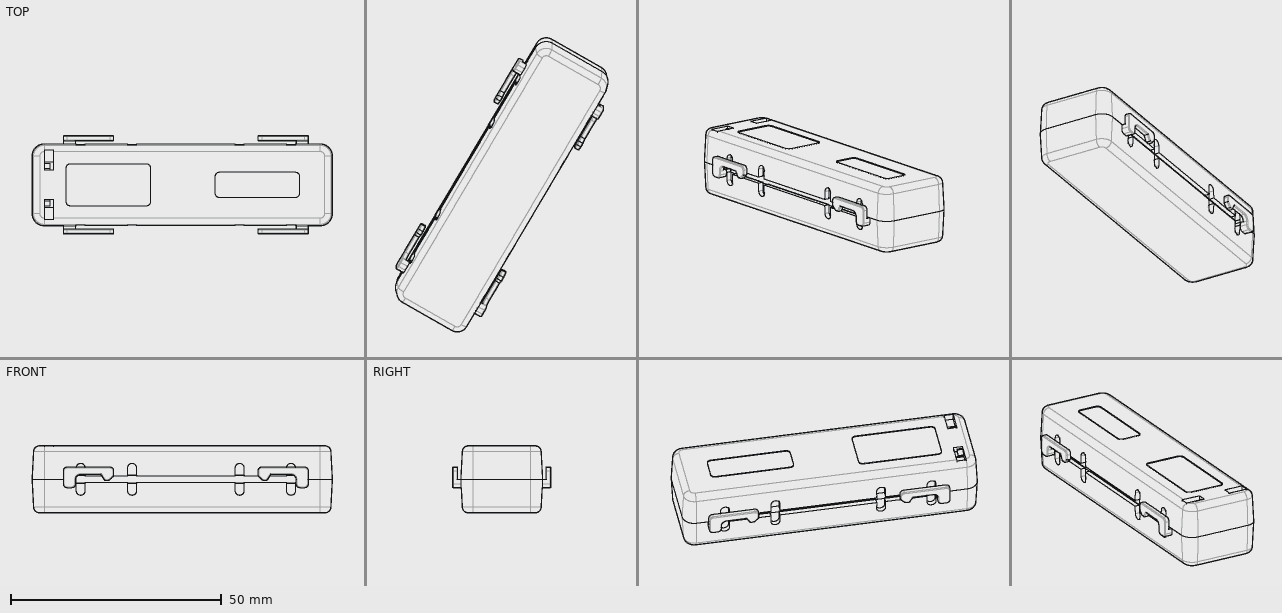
import cadquery as cq

CASE_LENGTH = 71.3
CASE_WIDTH = 19.5
SHELL_HEIGHT = 8.0
DRAFT_ANGLE = 3.0
CORNER_RADIUS = 2.9
RIM_FILLET = 1.5

MIDDLE_X = 0.85

CORE_LENGTH = 54.9
CORE_WIDTH = 16.7
CORE_TOP = 6.55
CORE_GAP = 1.85

SLIT_LENGTH = 52.2
SLIT_HEIGHT = 1.5
SLOT_WIDTH = 2.15
SLOT_HEIGHT = 7.55
SLOT_OFFSETS = (12.75, 24.95)

OVERALL_WIDTH = 23.3
HOOK_THICKNESS = 1.2
HOOK_BACK = 29.1
LEG_FRONT = 26.2
HOOK_END = 17.1
HOOK_TOP = 2.9
HOOK_BOTTOM = -2.0
ARM_UNDERSIDE = 1.15
BARB_START = 20.2
BARB_TIP_BACK = 19.25
BARB_TIP_FRONT = 18.25
BARB_TIP_LEVEL = -0.3
BARB_END_LEVEL = 0.8
HOOK_CORNER_RADIUS = 0.9
LEG_INNER_RADIUS = 1.3
HOOK_EDGE_FILLET = 0.2

LABEL_LENGTH = 20.0
LOGO_WIDTH = 10.0
LOGO_X = -17.55
NUMBER_WIDTH = 6.0
NUMBER_X = 17.8
LABEL_CORNER_RADIUS = 1.0
LABEL_DEPTH = 0.2

POCKET_X_MIN = -32.7
POCKET_LENGTH = 2.2
POCKET_INNER_Y = 3.5
LEDGE_EDGE_Y = 5.4
POCKET_OUTER_Y = 8.3
LEDGE_DEPTH = 1.3
POCKET_DEPTH = 1.6
TONGUE_LENGTH = 1.35
TONGUE_DEPTH = 0.6
RAMP_INNER_Y = 3.85
RAMP_OUTER_Y = 5.05

SIDES = (-1, 1)


def block(x_range, y_range, z_range):
    """Box given by its limits along each axis."""
    limits = (x_range, y_range, z_range)
    sizes = [high - low for low, high in limits]
    corner = tuple(low for low, high in limits)
    return cq.Workplane("XY").box(*sizes, centered=False).translate(corner)


def centred_range(middle, size):
    return (middle - size / 2, middle + size / 2)


def flipped(body):
    """Copy of an upper body, mirrored to the lower side of Z = 0."""
    return body.mirror("XY")


def make_core():
    """Upper core, a plain block."""
    return block(
        centred_range(MIDDLE_X, CORE_LENGTH),
        centred_range(0, CORE_WIDTH),
        (CORE_GAP / 2, CORE_TOP),
    )


def make_shell():
    """Upper shell with its core cavity, cable slit and side slots."""
    shell = (
        cq.Workplane("XY")
        .sketch()
        .rect(CASE_LENGTH, CASE_WIDTH)
        .vertices()
        .fillet(CORNER_RADIUS)
        .finalize()
        .extrude(SHELL_HEIGHT, taper=DRAFT_ANGLE)
        .faces(">Z")
        .edges()
        .fillet(RIM_FILLET)
    )
    cavity = block(
        centred_range(MIDDLE_X, CORE_LENGTH),
        centred_range(0, CORE_WIDTH),
        (0, CORE_TOP),
    )
    slit = block(
        centred_range(MIDDLE_X, SLIT_LENGTH),
        centred_range(0, CASE_WIDTH),
        (0, SLIT_HEIGHT / 2),
    )
    slot_centres = [(MIDDLE_X + side * offset, 0) for side in SIDES for offset in SLOT_OFFSETS]
    slots = (
        cq.Workplane("XZ")
        .pushPoints(slot_centres)
        .slot2D(SLOT_HEIGHT, SLOT_WIDTH, 90)
        .extrude(CASE_WIDTH / 2, both=True)
    )
    return shell.cut(cavity).cut(slit).cut(slots)


def cut_label(shell, middle_x, width):
    """Shallow rounded recess in the top face."""
    recess = (
        cq.Workplane("XY", origin=(middle_x, 0, SHELL_HEIGHT - LABEL_DEPTH))
        .rect(LABEL_LENGTH, width)
        .extrude(LABEL_DEPTH)
        .edges("|Z")
        .fillet(LABEL_CORNER_RADIUS)
    )
    return shell.cut(recess)


def cut_latch_pockets(shell):
    """Two mirrored pockets, each with a ledge at its inner end and a ramped tongue on the ledge."""
    x_range = (POCKET_X_MIN, POCKET_X_MIN + POCKET_LENGTH)
    ledge_level = SHELL_HEIGHT - LEDGE_DEPTH
    ledge = block(
        x_range,
        (POCKET_INNER_Y, LEDGE_EDGE_Y),
        (ledge_level, SHELL_HEIGHT),
    )
    well = block(
        x_range,
        (LEDGE_EDGE_Y, POCKET_OUTER_Y),
        (SHELL_HEIGHT - POCKET_DEPTH, SHELL_HEIGHT),
    )
    tongue_level = SHELL_HEIGHT - TONGUE_DEPTH
    tongue = (
        cq.Workplane("YZ", origin=(POCKET_X_MIN, 0, 0))
        .moveTo(POCKET_INNER_Y, ledge_level)
        .lineTo(POCKET_INNER_Y, tongue_level)
        .lineTo(RAMP_INNER_Y, tongue_level)
        .lineTo(RAMP_OUTER_Y, ledge_level)
        .close()
        .extrude(TONGUE_LENGTH)
    )
    pocket = ledge.union(well).cut(tongue)
    return shell.cut(pocket).cut(pocket.mirror("XZ"))


def make_hook():
    """Hook on the +X end of the +Y wall, its X measured from MIDDLE_X."""
    outer_y = OVERALL_WIDTH / 2
    plate = (
        cq.Workplane("XZ", origin=(0, outer_y, 0))
        .moveTo(HOOK_BACK, HOOK_BOTTOM)
        .lineTo(HOOK_BACK, HOOK_TOP)
        .lineTo(HOOK_END, HOOK_TOP)
        .lineTo(HOOK_END, BARB_END_LEVEL)
        .lineTo(BARB_TIP_FRONT, BARB_TIP_LEVEL)
        .lineTo(BARB_TIP_BACK, BARB_TIP_LEVEL)
        .lineTo(BARB_START, ARM_UNDERSIDE)
        .lineTo(LEG_FRONT, ARM_UNDERSIDE)
        .lineTo(LEG_FRONT, HOOK_BOTTOM)
        .close()
        .extrude(HOOK_THICKNESS)
    )
    bottom_corners = plate.edges("|Y").edges("<Z")
    top_corners = plate.edges("|Y").edges(">Z")
    plate = (
        plate.newObject(bottom_corners.vals() + top_corners.vals())
        .fillet(HOOK_CORNER_RADIUS)
        .edges(cq.NearestToPointSelector((LEG_FRONT, outer_y - HOOK_THICKNESS / 2, ARM_UNDERSIDE)))
        .fillet(LEG_INNER_RADIUS)
        .faces("<Y or >Y")
        .edges()
        .fillet(HOOK_EDGE_FILLET)
    )
    bridge = (
        block(
            (LEG_FRONT, HOOK_BACK),
            (CORE_WIDTH / 2, outer_y - HOOK_THICKNESS / 2),
            (HOOK_BOTTOM, 0),
        )
        .edges("|Y and <Z")
        .fillet(HOOK_CORNER_RADIUS)
    )
    return plate.union(bridge)


def add_hooks(shell):
    """Four hooks: both ends of both side walls."""
    end_hook = make_hook()
    for hook in (end_hook, end_hook.mirror("YZ")):
        for side_hook in (hook, hook.mirror("XZ")):
            shell = shell.union(side_hook.translate((MIDDLE_X, 0, 0)))
    return shell


upper_core = make_core()
lower_core = flipped(upper_core)

plain_shell = make_shell()
lower_shell = add_hooks(flipped(plain_shell))

upper_shell = cut_label(plain_shell, LOGO_X, LOGO_WIDTH)
upper_shell = cut_label(upper_shell, NUMBER_X, NUMBER_WIDTH)
upper_shell = cut_latch_pockets(upper_shell)

result = cq.Compound.makeCompound(
    [upper_shell.val(), lower_shell.val(), upper_core.val(), lower_core.val()]
)